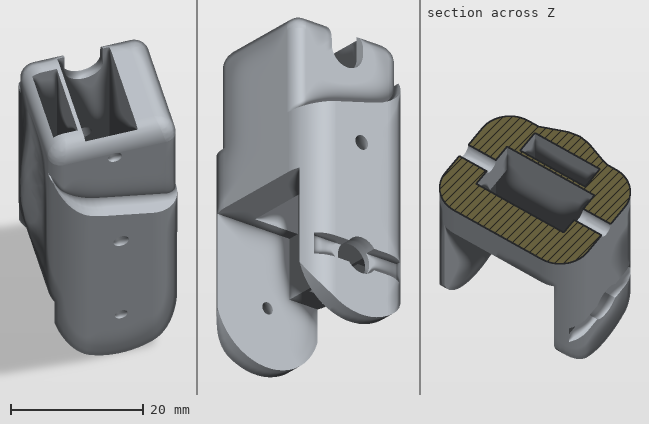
import cadquery as cq
import math

height = 50.0
body_width = 26.0
body_depth = 20.0
body_corner_radius = 5.0

housing_width = 19.0
housing_corner_radius = 2.0
housing_top_radius = 3.0

cheek_back_height = 33.1
cheek_slope_angle = 15.0
cheek_bend_y = -2.6
cheek_front_y = -9.75
cheek_front_height = 43.25

cavity_width = 15.9
cavity_back_y = 4.0
cavity_front_y = -4.2
slot_width = 11.8
slot_back_y = -4.8
slot_front_y = -8.65

gap_width = 20.0
front_wall_bottom = 12.75
back_wall_bottom = 23.0

lower_hole_height = body_depth / 2
middle_hole_height = 29.0
upper_hole_height = 46.0
lower_hole_diameter = 2.0
middle_hole_diameter = 2.4
upper_hole_diameter = 2.2
access_diameter = 6.0
groove_height = 3.6
groove_depth = 2.0
groove_length = 16.5

bulge_half_width = 7.5
bulge_root = 0.5
bulge_overlap = 0.1
bulge_steps = 8
bulge_heights_and_rises = [
    (front_wall_bottom, -0.05),
    (22.0, 1.55),
    (28.5, 2.0),
    (38.0, 1.0),
    (46.5, -0.05),
]

half_width = body_width / 2
half_depth = body_depth / 2


def box_between(x_range, y_range, z_range):
    """Box spanning the given (low, high) ranges."""
    spans = (x_range, y_range, z_range)
    size = [high - low for low, high in spans]
    corner = [low for low, high in spans]
    return cq.Workplane("XY").box(*size, centered=False).translate(tuple(corner))


def side_cylinder(diameter, z, x_start, x_end):
    """Cylinder along X, centred on y = 0 at the given height."""
    plane = cq.Workplane("YZ", origin=(x_start, 0, z))
    return plane.circle(diameter / 2).extrude(x_end - x_start)


def make_housing():
    housing = box_between(
        (-housing_width / 2, housing_width / 2),
        (-half_depth, half_depth),
        (front_wall_bottom, height),
    )
    housing = housing.edges("|Z").fillet(housing_corner_radius)
    return housing.faces(">Z").edges().fillet(housing_top_radius)


def make_shell():
    """Rounded body with a swept top edge and half-round bottom."""
    shell = cq.Workplane("XY").rect(body_width, body_depth).extrude(height)
    shell = shell.edges("|Z").fillet(body_corner_radius)
    slope = math.tan(math.radians(cheek_slope_angle))
    bend_height = cheek_back_height + slope * (half_depth - cheek_bend_y)
    side_outline = (
        cq.Workplane("YZ", origin=(-half_width, 0, 0))
        .moveTo(half_depth, lower_hole_height)
        .lineTo(half_depth, cheek_back_height)
        .lineTo(cheek_bend_y, bend_height)
        .tangentArcPoint((cheek_front_y, cheek_front_height), relative=False)
        .lineTo(-half_depth, cheek_front_height)
        .lineTo(-half_depth, lower_hole_height)
        .threePointArc((0, 0), (half_depth, lower_hole_height))
        .close()
        .extrude(body_width)
    )
    return shell.intersect(side_outline)


def bulge_section(z, rise):
    """Bell-shaped cross-section of the grip at one height."""
    root_y = -half_depth + bulge_root
    edge_y = -half_depth + bulge_overlap
    curve_points = []
    for step in range(bulge_steps + 1):
        x = bulge_half_width * (2 * step / bulge_steps - 1)
        bell = math.cos(math.pi * x / (2 * bulge_half_width)) ** 2
        curve_points.append((x, edge_y - (rise + bulge_overlap) * bell))
    section = (
        cq.Workplane("XY", origin=(0, 0, z))
        .moveTo(*curve_points[0])
        .spline(curve_points[1:], tangents=[(1, 0), (1, 0)], includeCurrent=True)
        .lineTo(bulge_half_width, root_y)
        .lineTo(-bulge_half_width, root_y)
        .close()
    )
    return section.val()


def make_bulge():
    """Smooth grip through all the sections."""
    sections = [bulge_section(z, rise) for z, rise in bulge_heights_and_rises]
    return cq.Workplane(cq.Solid.makeLoft(sections))


def cut_openings(body):
    gap_x = (-gap_width / 2, gap_width / 2)
    cavity_x = (-cavity_width / 2, cavity_width / 2)
    slot_x = (-slot_width / 2, slot_width / 2)
    body = body.cut(box_between(gap_x, (-half_depth, half_depth), (0, front_wall_bottom)))
    body = body.cut(box_between(gap_x, (cavity_front_y, half_depth), (0, back_wall_bottom)))
    body = body.cut(box_between(cavity_x, (cavity_front_y, cavity_back_y), (0, height)))
    return body.cut(box_between(slot_x, (slot_front_y, slot_back_y), (0, height)))


def cut_side_features(body):
    holes = [
        (lower_hole_diameter, lower_hole_height),
        (middle_hole_diameter, middle_hole_height),
        (upper_hole_diameter, upper_hole_height),
    ]
    for diameter, z in holes:
        body = body.cut(side_cylinder(diameter, z, -half_width, half_width))

    for z in (lower_hole_height, upper_hole_height):
        body = body.cut(side_cylinder(access_diameter, z, -half_width, 0))
    body = body.cut(box_between(
        (-half_width, 0),
        (-access_diameter / 2, access_diameter / 2),
        (upper_hole_height, height),
    ))

    return body.cut(box_between(
        (-half_width, -half_width + groove_depth),
        (-groove_length / 2, groove_length / 2),
        (lower_hole_height - groove_height / 2, lower_hole_height + groove_height / 2),
    ))


body = make_housing().union(make_shell()).union(make_bulge())
result = cut_side_features(cut_openings(body))